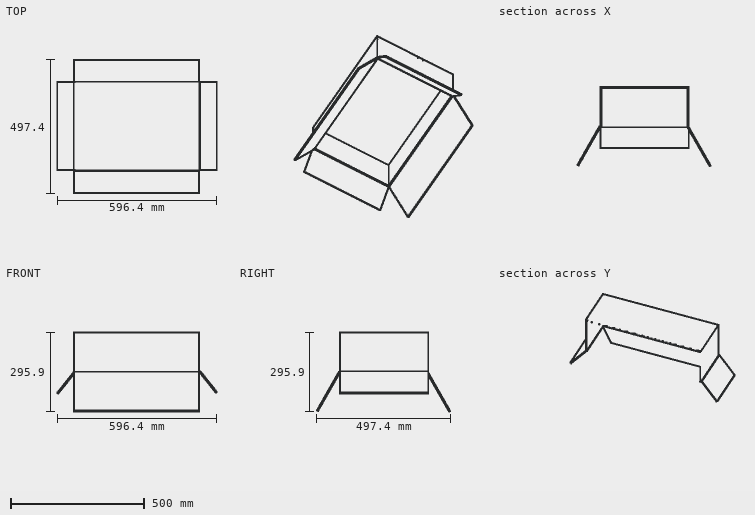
import cadquery as cq

carton_length = 468.0
carton_width = 330.0
carton_height = 150.0
board = 5.0

side_flap_reach = carton_width / 2
side_flap_angle = 29.61
side_hinge_height = 0.0

end_flap_reach = 100.0
end_flap_angle = 38.5
end_hinge_height = board / 2

RIGHT_END, BACK_SIDE, LEFT_END, FRONT_SIDE = 0, 90, 180, 270


def make_shell():
    """Hollow carton with its rim at Z = 0 and no floor."""
    outside = cq.Workplane("XY").box(carton_length, carton_width, carton_height, centered=(True, True, False))
    inside = cq.Workplane("XY").box(
        carton_length - 2 * board,
        carton_width - 2 * board,
        carton_height - board,
        centered=(True, True, False),
    )
    return outside.cut(inside)


def make_flap(span, reach, angle, hinge_on_inner_face):
    """Panel hanging from a hinge line along Y through the origin, swung out towards +X by the angle."""
    inner_face = 0.0 if hinge_on_inner_face else -board
    panel = cq.Workplane("XY").box(board, span, reach, centered=(False, True, False))
    panel = panel.translate((inner_face, 0, -reach))
    return panel.rotate((0, 0, 0), (0, 1, 0), -angle)


def hang(flap, wall_distance, hinge_height, facing):
    """Move a flap's hinge line onto the outer face of the wall that faces the given way."""
    hung = flap.translate((wall_distance, 0, hinge_height))
    return hung.rotate((0, 0, 0), (0, 0, 1), facing)


def make_side_flap(facing, hinge_on_inner_face):
    flap = make_flap(carton_length, side_flap_reach, side_flap_angle, hinge_on_inner_face)
    return hang(flap, carton_width / 2, side_hinge_height, facing)


def make_end_flap(facing, hinge_on_inner_face):
    flap = make_flap(carton_width, end_flap_reach, end_flap_angle, hinge_on_inner_face)
    return hang(flap, carton_length / 2, end_hinge_height, facing)


carton = make_shell().union(make_end_flap(LEFT_END, hinge_on_inner_face=False))

right_end_flap = make_end_flap(RIGHT_END, hinge_on_inner_face=True)
front_side_flap = make_side_flap(FRONT_SIDE, hinge_on_inner_face=True)
back_side_flap = make_side_flap(BACK_SIDE, hinge_on_inner_face=False).cut(carton)

result = cq.Compound.makeCompound([
    carton.val(),
    right_end_flap.val(),
    front_side_flap.val(),
    back_side_flap.val(),
])